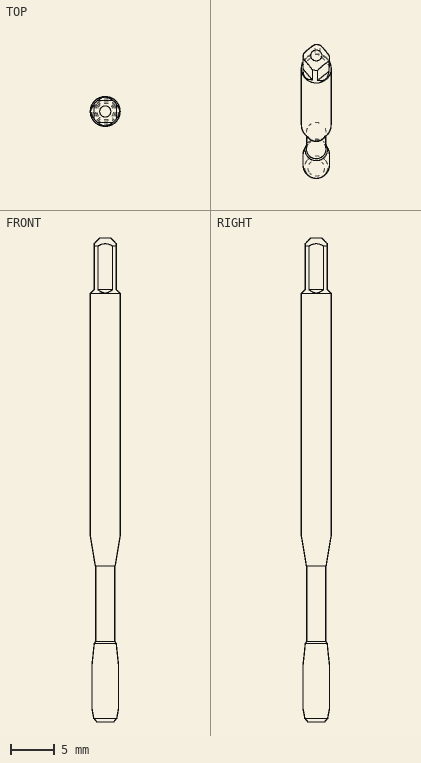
import cadquery as cq

total_length = 56.1
shank_diameter = 3.5
shank_bottom = 21.55
shank_top = 49.7
shank_chamfer = 0.05
shank_top_diameter = shank_diameter - 2 * shank_chamfer

drive_diameter = 3.1
drive_width = 2.6
flat_bottom = 50.1
drive_tip_diameter = 1.3
drive_tip_height = 0.95
flare_top = 50.2

neck_diameter = 2.25
neck_top = 18.05
taper_end_diameter = 2.35
taper_end = 18.2

head_diameter = 3.1
head_top = 9.35
head_shoulder_diameter = 2.6
shoulder_chamfer = 0.3
head_cylinder_top = 6.7
head_cylinder_bottom = 1.5
lead_diameter = 2.7
lead_bottom = 0.45
end_diameter = 1.9


def turned(profile):
    """Revolve (diameter, height) corners, listed from bottom to top, about Z."""
    half_outline = [(diameter / 2, height) for diameter, height in profile]
    axis_bottom = (0, profile[0][1])
    axis_top = (0, profile[-1][1])
    outline = cq.Workplane("XZ").polyline([axis_bottom, *half_outline, axis_top]).close()
    return outline.revolve(360, (0, 0), (0, 1))


def make_drive():
    """Square drive with rounded corners, a concave flared root and a conical tip."""
    drive_radius = drive_diameter / 2
    half_outline = (
        cq.Workplane("XZ")
        .moveTo(0, shank_top)
        .lineTo(0, total_length)
        .lineTo(drive_tip_diameter / 2, total_length)
        .lineTo(drive_radius, total_length - drive_tip_height)
        .lineTo(drive_radius, flare_top)
        .tangentArcPoint((shank_top_diameter / 2, shank_top), relative=False)
        .close()
    )
    round_stock = half_outline.revolve(360, (0, 0), (0, 1))
    return round_stock.intersect(make_square_envelope())


def make_square_envelope():
    """Square bar that spreads at 45 degrees below the flats, forming a sloped run-out under each one."""
    runout_height = flat_bottom - shank_top
    runout = (
        cq.Workplane("XY", origin=(0, 0, flat_bottom))
        .rect(drive_width, drive_width)
        .extrude(-runout_height, taper=-45)
    )
    bar = (
        cq.Workplane("XY", origin=(0, 0, flat_bottom))
        .rect(drive_width, drive_width)
        .extrude(total_length - flat_bottom)
    )
    return bar.union(runout)


def make_shank():
    """Neck, taper, chamfered shank and square drive in one piece."""
    shank_body = turned([
        (neck_diameter, head_top),
        (neck_diameter, neck_top),
        (taper_end_diameter, taper_end),
        (shank_diameter, shank_bottom),
        (shank_diameter, shank_top - shank_chamfer),
        (shank_top_diameter, shank_top),
    ])
    return shank_body.union(make_drive())


def make_head():
    """Threading head, tapered at the neck and at its leading end."""
    return turned([
        (end_diameter, 0),
        (lead_diameter, lead_bottom),
        (head_diameter, head_cylinder_bottom),
        (head_diameter, head_cylinder_top),
        (head_shoulder_diameter, head_top - shoulder_chamfer),
        (neck_diameter, head_top),
    ])


shank = make_shank()
head = make_head()

result = cq.Compound.makeCompound([shank.val(), head.val()])